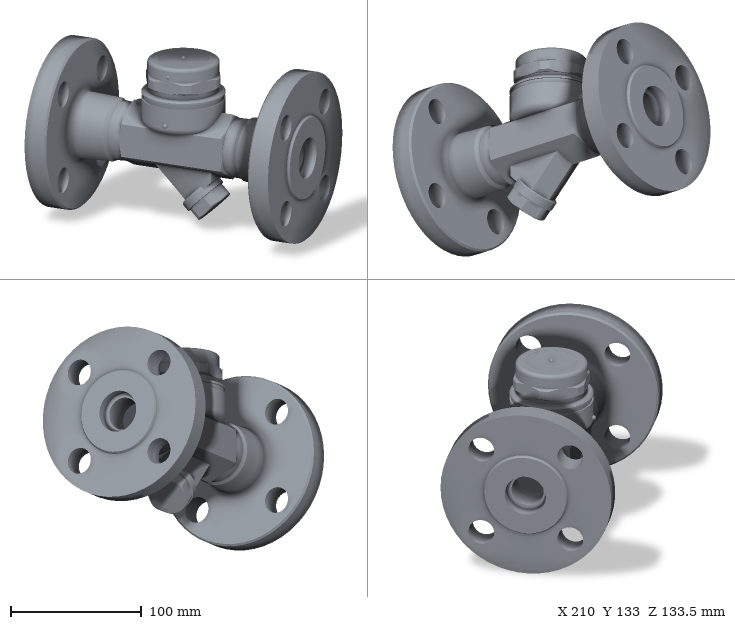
import cadquery as cq
import math

OVERALL_LENGTH = 210
END_X = OVERALL_LENGTH / 2
FLANGE_DIA = 133.0
RAISED_FACE_DIA = 66.0
RAISED_FACE_HEIGHT = 2
RAISED_FACE_CHAMFER = 1.3
FLANGE_THICKNESS = 17.6
FLANGE_CHAMFER = 1.5
FLANGE_FACE_X = END_X - RAISED_FACE_HEIGHT
FLANGE_BACK_X = FLANGE_FACE_X - FLANGE_THICKNESS

BOLT_HOLE_DIA = 20.0
BOLT_HOLE_SPACING = 69.3

HUB_ROOT_DIA = 51.7
HUB_FILLET = 4.0
HUB_TIP_X = 56.5
HUB_TIP_DIA = 49.5
NECK_START_X = 53.1
NECK_DIA = 46.0
NECK_ROUND_X = 48.7
NECK_ROUND_RADIUS = 21

SOCKET_DIA = 32.0
SOCKET_DEPTH = 9.2
BORE_DIA = 25.0
BORE_DEPTH = 31.5

BODY_LENGTH = 87.0
BODY_ACROSS_FLATS = 45.4
BODY_CHAMFER_ANGLE = 25

CUP_DIA = 64.5
CUP_BOTTOM_Z = 13.2
CUP_FILLET = 5.2
GROOVE_DIA = 62.0
GROOVE_BOTTOM_Z = 34.5
GROOVE_TOP_Z = 38.2
LIP_CHAMFER = 1.3
LIP_TOP_Z = 40.7
CAP_NECK_DIA = 54.0
NUT_BOTTOM_Z = 45.0
NUT_TOP_Z = 54.5
NUT_ACROSS_FLATS = 55.2
NUT_CORNER_DIA = 60.0
CAP_DIA = 55.5
CAP_TOP_Z = 65.5
CAP_FILLET = 3.0
CAP_RECESS_DIA = 40
CAP_RECESS_DEPTH = 0.2

TOP_BALL_DIA = 3.0
OVERALL_HEIGHT = 133.5
TOP_Z = OVERALL_HEIGHT - FLANGE_DIA / 2
SIDE_BALL_DIA = 3.8
CAP_BALL_Z = 58.2
CAP_BALL_HEIGHT = 0.6
CUP_BALL_Z = 20.5
CUP_BALL_HEIGHT = 2.3

TAB_WIDTH = 9.7
TAB_ROUND_CENTRE_X = -34.9
TAB_ROOT_WIDTH = 11.3
TAB_ROOT_X = -CUP_DIA / 2
TAB_TOP_Z = 26.5

BRANCH_SLOPE = 45
BRANCH_OFFSET = 17.2
BRANCH_ACROSS_FLATS = 27.3
BRANCH_END = 39.7
BRANCH_RIGHT_X = 29.6
COLLAR_DIA = 34.9
COLLAR_START = 36.5
COLLAR_END = 43.9
COLLAR_CHAMFER = 0.8
PLUG_NECK_DIA = 30.2
PLUG_START = 44.3
PLUG_END = 54.4
PLUG_ACROSS_FLATS = 31.0
PLUG_CORNER_DIA = 34.0

HEX_CHAMFER_ANGLE = 30


def hexagon_corner_dia(across_flats):
    return across_flats / math.cos(math.radians(30))


def chamfered_hexagon(across_flats, corner_dia, start, end):
    """Hexagonal nut along Z with flats facing +-Y, round corners and conical end chamfers."""
    height = end - start
    hexagon = (
        cq.Workplane("XY").workplane(offset=start)
        .polygon(6, hexagon_corner_dia(across_flats)).extrude(height)
    )
    corner_r = corner_dia / 2
    chamfer_r = across_flats / 2
    drop = (corner_r - chamfer_r) * math.tan(math.radians(HEX_CHAMFER_ANGLE))
    envelope = (
        cq.Workplane("XZ")
        .moveTo(0, start).lineTo(chamfer_r, start).lineTo(corner_r, start + drop)
        .lineTo(corner_r, end - drop).lineTo(chamfer_r, end).lineTo(0, end).close()
        .revolve(360, (0, 0, 0), (0, 1, 0))
    )
    return hexagon.intersect(envelope)


def pipe_end():
    """Flange, hub, neck, socket and bolt holes of the +X end."""
    body_end_x = BODY_LENGTH / 2
    raised_r = RAISED_FACE_DIA / 2
    flange_r = FLANGE_DIA / 2
    root_r = HUB_ROOT_DIA / 2
    neck_r = NECK_DIA / 2
    round_length = NECK_ROUND_X - body_end_x
    round_drop = NECK_ROUND_RADIUS - math.sqrt(NECK_ROUND_RADIUS**2 - round_length**2)
    overlap = 2
    turned = (
        cq.Workplane("XY")
        .moveTo(END_X, 0)
        .lineTo(END_X, raised_r - RAISED_FACE_CHAMFER)
        .lineTo(FLANGE_FACE_X, raised_r)
        .lineTo(FLANGE_FACE_X, flange_r)
        .lineTo(FLANGE_BACK_X + FLANGE_CHAMFER, flange_r)
        .lineTo(FLANGE_BACK_X, flange_r - FLANGE_CHAMFER)
        .lineTo(FLANGE_BACK_X, root_r + HUB_FILLET)
        .radiusArc((FLANGE_BACK_X - HUB_FILLET, root_r), HUB_FILLET)
        .lineTo(HUB_TIP_X, HUB_TIP_DIA / 2)
        .lineTo(NECK_START_X, neck_r)
        .lineTo(NECK_ROUND_X, neck_r)
        .radiusArc((body_end_x, neck_r - round_drop), -NECK_ROUND_RADIUS)
        .lineTo(body_end_x - overlap, neck_r - round_drop)
        .lineTo(body_end_x - overlap, 0)
        .close()
        .revolve(360, (0, 0, 0), (1, 0, 0))
    )
    end_plane = cq.Workplane("YZ").workplane(offset=END_X)
    socket = end_plane.circle(SOCKET_DIA / 2).extrude(-SOCKET_DEPTH)
    bore = end_plane.circle(BORE_DIA / 2).extrude(-BORE_DEPTH)
    bolt_holes = (
        end_plane.rect(BOLT_HOLE_SPACING, BOLT_HOLE_SPACING, forConstruction=True).vertices()
        .circle(BOLT_HOLE_DIA / 2).extrude(FLANGE_BACK_X - END_X)
    )
    return turned.cut(socket).cut(bore).cut(bolt_holes)


def hexagonal_body():
    """Bar along X with a corner on top, its ends turned to a shallow cone."""
    half = BODY_LENGTH / 2
    flat_r = BODY_ACROSS_FLATS / 2
    corner_r = hexagon_corner_dia(BODY_ACROSS_FLATS) / 2
    setback = (corner_r - flat_r) * math.tan(math.radians(BODY_CHAMFER_ANGLE))
    bar = (
        cq.Workplane("YZ").workplane(offset=-half)
        .transformed(rotate=(0, 0, 90)).polygon(6, 2 * corner_r).extrude(BODY_LENGTH)
    )
    envelope = (
        cq.Workplane("XY")
        .moveTo(-half, 0).lineTo(-half, flat_r).lineTo(-half + setback, corner_r)
        .lineTo(half - setback, corner_r).lineTo(half, flat_r).lineTo(half, 0).close()
        .revolve(360, (0, 0, 0), (1, 0, 0))
    )
    return bar.intersect(envelope)


def cover_stack():
    """Cup, groove, lip, neck, nut and cap, stacked along Z."""
    cup_r = CUP_DIA / 2
    groove_r = GROOVE_DIA / 2
    neck_r = CAP_NECK_DIA / 2
    cap_r = CAP_DIA / 2
    turned = (
        cq.Workplane("XZ")
        .moveTo(0, CUP_BOTTOM_Z)
        .lineTo(cup_r - CUP_FILLET, CUP_BOTTOM_Z)
        .radiusArc((cup_r, CUP_BOTTOM_Z + CUP_FILLET), -CUP_FILLET)
        .lineTo(cup_r, GROOVE_BOTTOM_Z)
        .lineTo(groove_r, GROOVE_BOTTOM_Z)
        .lineTo(groove_r, GROOVE_TOP_Z)
        .lineTo(cup_r, GROOVE_TOP_Z)
        .lineTo(cup_r, LIP_TOP_Z - LIP_CHAMFER)
        .lineTo(cup_r - LIP_CHAMFER, LIP_TOP_Z)
        .lineTo(neck_r, LIP_TOP_Z)
        .lineTo(neck_r, NUT_TOP_Z)
        .lineTo(cap_r, NUT_TOP_Z)
        .lineTo(cap_r, CAP_TOP_Z - CAP_FILLET)
        .radiusArc((cap_r - CAP_FILLET, CAP_TOP_Z), -CAP_FILLET)
        .lineTo(CAP_RECESS_DIA / 2, CAP_TOP_Z)
        .lineTo(CAP_RECESS_DIA / 2, CAP_TOP_Z - CAP_RECESS_DEPTH)
        .lineTo(0, CAP_TOP_Z - CAP_RECESS_DEPTH)
        .close()
        .revolve(360, (0, 0, 0), (0, 1, 0))
    )
    nut = chamfered_hexagon(NUT_ACROSS_FLATS, NUT_CORNER_DIA, NUT_BOTTOM_Z, NUT_TOP_Z)
    return turned.union(nut)


def ball_marks():
    """Small sunk balls on top of the cap and on the -Y sides of the cap and the cup."""
    top_ball = cq.Workplane("XY").sphere(TOP_BALL_DIA / 2)
    side_ball = cq.Workplane("XY").sphere(SIDE_BALL_DIA / 2)
    cap_ball_y = SIDE_BALL_DIA / 2 - CAP_BALL_HEIGHT - CAP_DIA / 2
    cup_ball_y = SIDE_BALL_DIA / 2 - CUP_BALL_HEIGHT - CUP_DIA / 2
    return (
        top_ball.translate((0, 0, TOP_Z - TOP_BALL_DIA / 2))
        .union(side_ball.translate((0, cap_ball_y, CAP_BALL_Z)))
        .union(side_ball.translate((0, cup_ball_y, CUP_BALL_Z)))
    )


def locating_tab():
    """Round-ended tab that runs from the cup toward -X along the top corner of the body."""
    half_width = TAB_WIDTH / 2
    half_root = TAB_ROOT_WIDTH / 2
    tip_x = TAB_ROUND_CENTRE_X - half_width
    return (
        cq.Workplane("XY")
        .moveTo(0, half_root)
        .lineTo(TAB_ROOT_X, half_root)
        .lineTo(TAB_ROUND_CENTRE_X, half_width)
        .threePointArc((tip_x, 0), (TAB_ROUND_CENTRE_X, -half_width))
        .lineTo(TAB_ROOT_X, -half_root)
        .lineTo(0, -half_root)
        .close()
        .extrude(TAB_TOP_Z)
    )


def along_branch(shape):
    """Move a shape built along Z onto the branch axis; its X then points down and toward -X."""
    return shape.translate((BRANCH_OFFSET, 0, 0)).rotate((0, 0, 0), (0, 1, 0), 90 + BRANCH_SLOPE)


def strainer_branch():
    """Branch with a half-hexagonal lower side, a round collar and a hexagonal plug."""
    half_width = BRANCH_ACROSS_FLATS / 2
    corner = hexagon_corner_dia(BRANCH_ACROSS_FLATS) / 2
    upper_reach = 2 * BRANCH_ACROSS_FLATS
    section = (
        cq.Workplane("XY")
        .moveTo(corner, 0)
        .lineTo(corner / 2, half_width)
        .lineTo(-upper_reach, half_width)
        .lineTo(-upper_reach, -half_width)
        .lineTo(corner / 2, -half_width)
        .close()
    )
    block = along_branch(section.extrude(BRANCH_END))
    limit = OVERALL_LENGTH
    below = cq.Workplane("XY").box(limit, limit, limit)
    below = below.translate((BRANCH_RIGHT_X - limit / 2, 0, -limit / 2))
    collar = (
        cq.Workplane("XY").workplane(offset=COLLAR_START)
        .circle(COLLAR_DIA / 2).extrude(COLLAR_END - COLLAR_START)
        .faces("<Z").chamfer(COLLAR_CHAMFER)
    )
    plug = chamfered_hexagon(PLUG_ACROSS_FLATS, PLUG_CORNER_DIA, PLUG_START, PLUG_END)
    plug_neck = cq.Workplane("XY").workplane(offset=COLLAR_START)
    plug_neck = plug_neck.circle(PLUG_NECK_DIA / 2).extrude(PLUG_START - COLLAR_START)
    return block.intersect(below).union(along_branch(collar.union(plug_neck).union(plug)))


right_end = pipe_end()
left_end = right_end.mirror("YZ")
result = (
    hexagonal_body()
    .union(right_end)
    .union(left_end)
    .union(cover_stack())
    .union(locating_tab())
    .union(strainer_branch())
    .union(ball_marks())
)